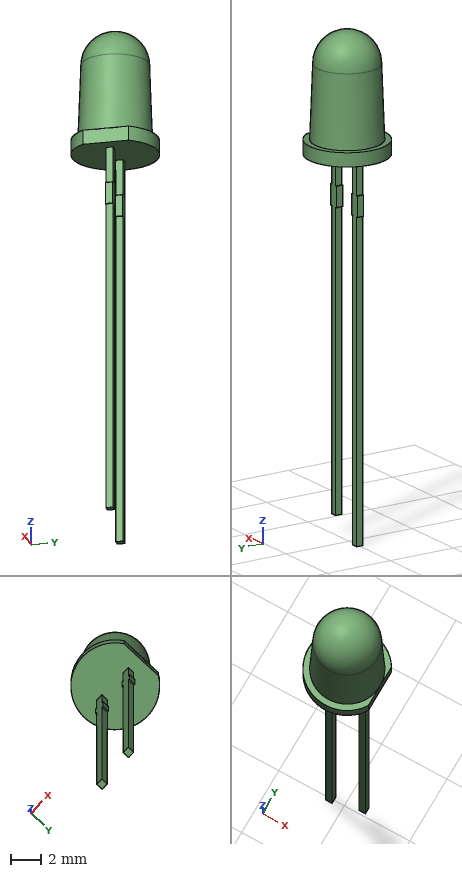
import cadquery as cq

flange_diameter = 5.9
flange_thickness = 1.0
body_base_radius = 2.5
dome_radius = 2.3
body_height = 8.6
dome_base_z = body_height - dome_radius
flat_x = body_base_radius

lead_pitch = 2.54
lead_width = 0.5
long_lead_length = 27.0
short_lead_length = 25.5
stop_width = 0.7
stop_top_z = -2.5
stop_height = 1.5


def make_flange():
    """Round flange with one side cut flat at +X."""
    disc = cq.Workplane("XY").circle(flange_diameter / 2).extrude(flange_thickness)
    beyond_flat = (
        cq.Workplane("XY")
        .box(flange_diameter, flange_diameter, flange_thickness, centered=(False, True, False))
        .translate((flat_x, 0, 0))
    )
    return disc.cut(beyond_flat)


def make_lens():
    """Slightly tapered body topped by a hemispherical dome, revolved about Z."""
    return (
        cq.Workplane("XZ")
        .moveTo(0, flange_thickness)
        .lineTo(body_base_radius, flange_thickness)
        .lineTo(dome_radius, dome_base_z)
        .radiusArc((0, body_height), -dome_radius)
        .close()
        .revolve(360, (0, 0, 0), (0, 1, 0))
    )


def make_lead(x, length):
    """Square wire hanging below the flange, with a wider stand-off stop."""
    wire = cq.Workplane("XY").rect(lead_width, lead_width).extrude(-length)
    stop = (
        cq.Workplane("XY", origin=(0, 0, stop_top_z))
        .rect(stop_width, lead_width)
        .extrude(-stop_height)
    )
    return wire.union(stop).translate((x, 0, 0))


result = make_flange().union(make_lens())
for lead_x, lead_length in (
    (-lead_pitch / 2, long_lead_length),
    (lead_pitch / 2, short_lead_length),
):
    result = result.union(make_lead(lead_x, lead_length))